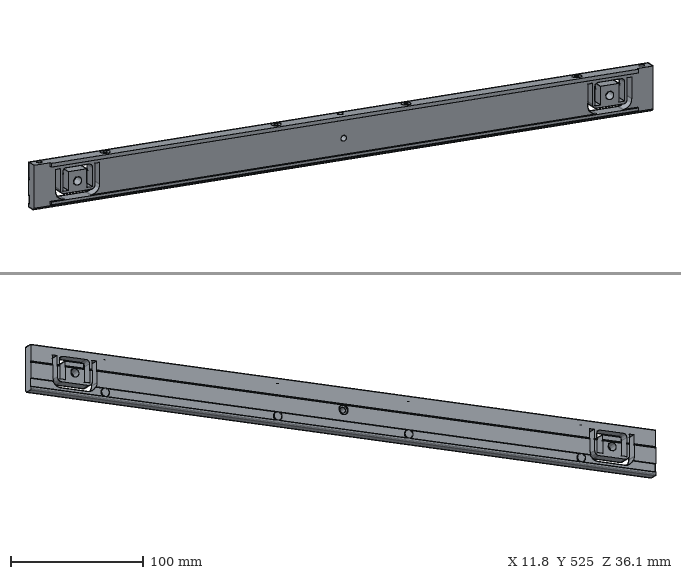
import cadquery as cq
import math

LENGTH = 525.0
HEIGHT = 36.1
BODY_DEPTH = 10.0
LIP_REACH = 1.85
UPPER_LIP_HEIGHT = 3.0
LOWER_LIP_Z = 3.0
LOWER_LIP_HEIGHT = 2.2
LIP_END_GAP = 13.5
BACK_CHAMFER = 1.8

UPPER_SETBACK = 0.75
TOP_RADIUS = 0.45
FOOT_RADIUS = 1.0
UNDERCUT_TOP = 22.9
UNDERCUT_BOTTOM = 21.9
UNDERCUT_DEPTH = 1.15
PAD_DIAMETER = 6.6
GROOVE_DEPTH = 1.3
GROOVE_BOTTOM = 2.7
GROOVE_TOP = GROOVE_BOTTOM + PAD_DIAMETER

HOLE_X = 4.4
HOLE_DIAMETER = 4.3
HOLE_DEPTH = 8.0
DRILL_ANGLE = 118.0
HOLE_Y = (-255.5, 0.0, 255.5)

MID_Z = HEIGHT / 2
SCREW_DIAMETER = 4.6
SCREW_HEAD = 7.6
SCREW_HEAD_DEPTH = 1.5

TONGUE_Y = 225.7
TONGUE_HOLE = 6.6
SLOT_TOP = 30.0
OUTER_SLOT_HALF = 18.6
OUTER_SLOT_BOTTOM = 5.2
OUTER_SLOT_RADIUS = 7.5
STRAP_HALF = 14.7
STRAP_BOTTOM = 9.5
STRAP_RADIUS = 3.5
INNER_SLOT_HALF = 12.6
INNER_SLOT_BOTTOM = 11.7
INNER_SLOT_RADIUS = 3.0
TONGUE_HALF = 7.9
TONGUE_TOP = 26.6

INSERT_Y = (-200.0, -55.0, 55.0, 200.0)
PAD_Z = (GROOVE_BOTTOM + GROOVE_TOP) / 2
BUSHING_X = 5.4
BUSHING_DIAMETER = 7.6
BUSHING_BORE = 3.1
BUSHING_LENGTH = 4.0


def make_body():
    """Bar extruded along Y from its X-Z section."""
    arc = 1 - math.sqrt(0.5)
    return (
        cq.Workplane("XZ", origin=(0, LENGTH / 2, 0))
        .moveTo(BODY_DEPTH, HEIGHT)
        .lineTo(UPPER_SETBACK + TOP_RADIUS, HEIGHT)
        .threePointArc(
            (UPPER_SETBACK + TOP_RADIUS * arc, HEIGHT - TOP_RADIUS * arc),
            (UPPER_SETBACK, HEIGHT - TOP_RADIUS),
        )
        .lineTo(UPPER_SETBACK, UNDERCUT_TOP)
        .lineTo(UNDERCUT_DEPTH, UNDERCUT_BOTTOM)
        .lineTo(0, UNDERCUT_BOTTOM)
        .lineTo(0, GROOVE_TOP)
        .lineTo(GROOVE_DEPTH, GROOVE_TOP)
        .lineTo(GROOVE_DEPTH, GROOVE_BOTTOM)
        .lineTo(0, GROOVE_BOTTOM)
        .lineTo(0, FOOT_RADIUS)
        .threePointArc((FOOT_RADIUS * arc, FOOT_RADIUS * arc), (FOOT_RADIUS, 0))
        .lineTo(BODY_DEPTH - BACK_CHAMFER, 0)
        .lineTo(BODY_DEPTH, BACK_CHAMFER)
        .close()
        .extrude(LENGTH)
    )


def make_lip(bottom, height):
    """Lip along the back of the bar, starting at the bottom height."""
    lip = cq.Workplane("XY").box(
        LIP_REACH, LENGTH - 2 * LIP_END_GAP, height, centered=(False, True, False)
    )
    return lip.translate((BODY_DEPTH, 0, bottom))


def cutting_block(y, half_width, bottom, top):
    """Block through the depth of the bar, centred on y."""
    block = cq.Workplane("XY").box(BODY_DEPTH, 2 * half_width, top - bottom, centered=(False, True, False))
    return block.translate((0, y, bottom))


def tongue_slots(y):
    """U slot and the inverted U slot inside it, which free a spring tongue."""
    outer = cutting_block(y, OUTER_SLOT_HALF, OUTER_SLOT_BOTTOM, SLOT_TOP)
    outer = outer.edges("|X and <Z").fillet(OUTER_SLOT_RADIUS)
    strap = cutting_block(y, STRAP_HALF, STRAP_BOTTOM, SLOT_TOP)
    strap = strap.edges("|X and <Z").fillet(STRAP_RADIUS)
    inner = cutting_block(y, INNER_SLOT_HALF, INNER_SLOT_BOTTOM, SLOT_TOP)
    inner = inner.edges("|X and >Z").fillet(INNER_SLOT_RADIUS)
    tongue = cutting_block(y, TONGUE_HALF, INNER_SLOT_BOTTOM, TONGUE_TOP)
    return outer.cut(strap).union(inner.cut(tongue))


def x_cylinder(diameter, y, z, length):
    """Cylinder along +X that starts at the front plane."""
    return cq.Workplane("YZ", origin=(0, y, z)).circle(diameter / 2).extrude(length)


def z_cylinder(diameter, x, y, depth):
    """Cylinder that goes down from the top plane."""
    return cq.Workplane("XY", origin=(x, y, HEIGHT)).circle(diameter / 2).extrude(-depth)


def drilled_hole(y):
    """Blind hole from the top with a conical drill point."""
    radius = HOLE_DIAMETER / 2
    point_depth = radius / math.tan(math.radians(DRILL_ANGLE / 2))
    outline = [(0, 0), (radius, 0), (radius, -HOLE_DEPTH), (0, -HOLE_DEPTH - point_depth)]
    hole = cq.Workplane("XZ").polyline(outline).close().revolve(360, (0, 0, 0), (0, 1, 0))
    return hole.translate((HOLE_X, y, HEIGHT))


def screw_hole():
    """Counterbored through hole in the middle of the front."""
    bore = x_cylinder(SCREW_DIAMETER, 0, MID_Z, BODY_DEPTH)
    return bore.union(x_cylinder(SCREW_HEAD, 0, MID_Z, SCREW_HEAD_DEPTH))


def make_rail():
    """Bar with its lips, slots and holes."""
    rail = make_body()
    rail = rail.union(make_lip(LOWER_LIP_Z, LOWER_LIP_HEIGHT))
    rail = rail.union(make_lip(HEIGHT - UPPER_LIP_HEIGHT, UPPER_LIP_HEIGHT))
    for y in (-TONGUE_Y, TONGUE_Y):
        rail = rail.cut(tongue_slots(y))
        rail = rail.cut(x_cylinder(TONGUE_HOLE, y, MID_Z, BODY_DEPTH))
    rail = rail.cut(screw_hole())
    for y in HOLE_Y:
        rail = rail.cut(drilled_hole(y))
    for y in INSERT_Y:
        rail = rail.cut(z_cylinder(BUSHING_DIAMETER, BUSHING_X, y, BUSHING_LENGTH))
    return rail


def make_bushing(y):
    """Bushing set flush into the top of the bar."""
    bushing = z_cylinder(BUSHING_DIAMETER, BUSHING_X, y, BUSHING_LENGTH)
    return bushing.cut(z_cylinder(BUSHING_BORE, BUSHING_X, y, BUSHING_LENGTH))


def make_pad(y):
    """Round pad on the groove floor, flush with the front face."""
    return x_cylinder(PAD_DIAMETER, y, PAD_Z, GROOVE_DEPTH)


rail = make_rail()
bushings = [make_bushing(y) for y in INSERT_Y]
pads = [make_pad(y) for y in INSERT_Y]

result = cq.Compound.makeCompound([rail.val()] + [body.val() for body in bushings + pads])